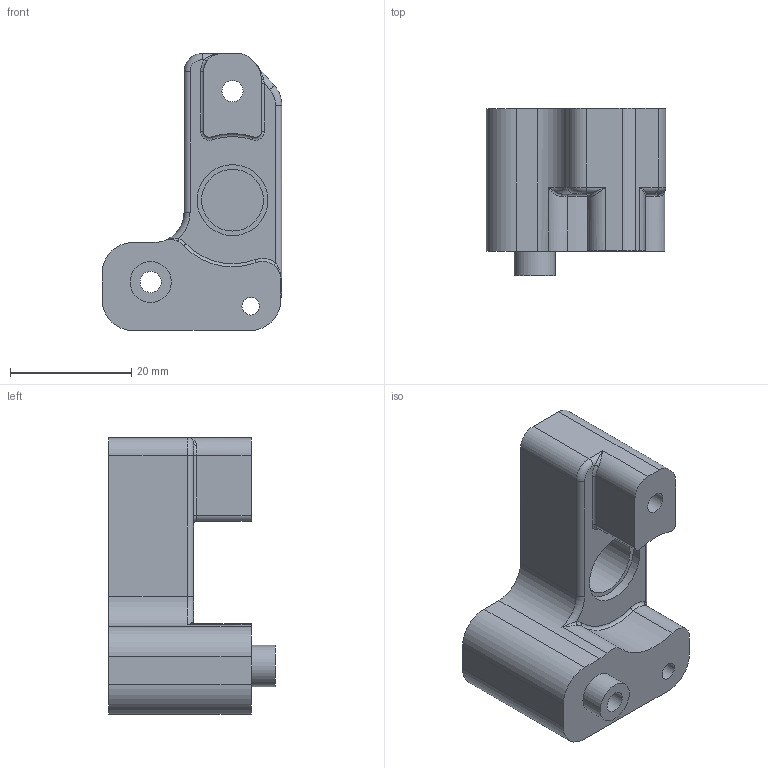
import cadquery as cq
import math


pillar_depth = 14.0
base_depth = 23.5
boss_height = 4.0
boss_depth = base_depth + boss_height

base_left = -21.5
base_right = 7.96
base_bottom = -21.5
base_top = -7.0
base_corner_radius = 5.0
crest_radius = 3.0

pillar_left = -8.0
pillar_right = 8.13
pillar_top = 24.2
pillar_foot = -16.0
pillar_corner_radius = 3.0
inner_corner_radius = 5.0
slant_top_x = 2.28
slant_right_z = 17.5
slant_lower_radius = 5.0
pillar_edge_radius = 1.0

block_half_width = 4.77
block_upper_left_radius = 3.0
block_upper_right_radius = 4.0
block_lower_radius = 1.0

clearance_radius = 11.0
foot_fillet_radius = 0.5

seat_radius = 5.1
seat_depth = 12.0
seat_step_radius = 5.85
seat_step_depth = 1.5

boss_x, boss_z = -13.5, -13.5
boss_radius = 3.4
screw_hole_diameter = 3.5
block_hole_x, block_hole_z = 0.0, 18.0
pin_hole_x, pin_hole_z = 3.0, -17.5
pin_hole_diameter = 2.9

DIAGONAL = math.sqrt(0.5)


def profile_plane(depth=0.0):
    """X-Z plane at the given depth; positive extrusion runs toward -Y."""
    return cq.Workplane("XZ", origin=(0, -depth, 0))


def cylinder(x, z, radius, start_depth, end_depth):
    sketch = profile_plane(start_depth).center(x, z).circle(radius)
    return sketch.extrude(end_depth - start_depth)


def point_toward(start, end, distance):
    """Point at the given distance from start on the line to end."""
    ratio = distance / math.dist(start, end)
    return (start[0] + ratio * (end[0] - start[0]), start[1] + ratio * (end[1] - start[1]))


def edge_at(x, z):
    """Selector for the depthwise edge through the point (x, z)."""
    reach = 0.05
    low = (x - reach, -boss_depth, z - reach)
    high = (x + reach, boss_depth, z + reach)
    return cq.selectors.BoxSelector(low, high)


inner_corner = (pillar_left - inner_corner_radius, base_top + inner_corner_radius)
inner_corner_middle = (
    inner_corner[0] + inner_corner_radius * DIAGONAL,
    inner_corner[1] - inner_corner_radius * DIAGONAL,
)


def make_pillar():
    pillar = (
        profile_plane()
        .moveTo(pillar_right, pillar_foot)
        .lineTo(pillar_right, slant_right_z)
        .lineTo(slant_top_x, pillar_top)
        .lineTo(pillar_left, pillar_top)
        .lineTo(pillar_left, inner_corner[1])
        .threePointArc(inner_corner_middle, (inner_corner[0], base_top))
        .lineTo(inner_corner[0], pillar_foot)
        .close()
        .extrude(pillar_depth)
    )
    pillar = pillar.edges(edge_at(pillar_left, pillar_top)).fillet(pillar_corner_radius)
    pillar = pillar.edges(edge_at(slant_top_x, pillar_top)).fillet(pillar_corner_radius)
    pillar = pillar.edges(edge_at(pillar_right, slant_right_z)).fillet(slant_lower_radius)
    front_left_edge = cq.selectors.NearestToPointSelector((pillar_left, -pillar_depth, pillar_top / 2))
    return pillar.edges(front_left_edge).fillet(pillar_edge_radius)


def crest_beside_inner_corner():
    """Centre of the left crest, tangent to the concave corner and the clearance arc."""
    to_corner = inner_corner_radius + crest_radius
    to_seat = clearance_radius + crest_radius
    between = math.hypot(*inner_corner)
    along = (to_seat**2 - to_corner**2 + between**2) / (2 * between)
    aside = math.sqrt(to_seat**2 - along**2)
    unit_x, unit_z = inner_corner[0] / between, inner_corner[1] / between
    return (along * unit_x - aside * unit_z, along * unit_z + aside * unit_x)


def make_base():
    left_crest = crest_beside_inner_corner()
    right_crest_x = base_right - crest_radius
    right_crest_z = -math.sqrt((clearance_radius + crest_radius) ** 2 - right_crest_x**2)
    right_crest = (right_crest_x, right_crest_z)
    seat = (0, 0)

    rise_end = point_toward(inner_corner, left_crest, inner_corner_radius)
    rise_chord_middle = ((inner_corner[0] + rise_end[0]) / 2, (base_top + rise_end[1]) / 2)
    rise_middle = point_toward(inner_corner, rise_chord_middle, inner_corner_radius)
    left_crest_top = (left_crest[0], left_crest[1] + crest_radius)
    right_crest_top = (right_crest[0], right_crest[1] + crest_radius)

    base = (
        profile_plane()
        .moveTo(base_left, base_bottom)
        .lineTo(base_left, base_top)
        .lineTo(inner_corner[0], base_top)
        .threePointArc(rise_middle, rise_end)
        .threePointArc(left_crest_top, point_toward(seat, left_crest, clearance_radius))
        .threePointArc((0, -clearance_radius), point_toward(seat, right_crest, clearance_radius))
        .threePointArc(right_crest_top, (base_right, right_crest[1]))
        .lineTo(base_right, base_bottom)
        .close()
        .extrude(base_depth)
    )
    for x, z in [(base_left, base_bottom), (base_left, base_top), (base_right, base_bottom)]:
        base = base.edges(edge_at(x, z)).fillet(base_corner_radius)
    return base


def make_block():
    slant_slope = (pillar_top - slant_right_z) / (pillar_right - slant_top_x)
    right_top = pillar_top - slant_slope * (block_half_width - slant_top_x)
    lower_z = math.sqrt(clearance_radius**2 - block_half_width**2)
    block = (
        profile_plane()
        .moveTo(-block_half_width, lower_z)
        .threePointArc((0, clearance_radius), (block_half_width, lower_z))
        .lineTo(block_half_width, right_top)
        .lineTo(slant_top_x, pillar_top)
        .lineTo(-block_half_width, pillar_top)
        .close()
        .extrude(base_depth)
    )
    block = block.edges(edge_at(-block_half_width, pillar_top)).fillet(block_upper_left_radius)
    block = block.edges(edge_at(slant_top_x, pillar_top)).fillet(pillar_corner_radius)
    block = block.edges(edge_at(block_half_width, right_top)).fillet(block_upper_right_radius)
    for x in (-block_half_width, block_half_width):
        block = block.edges(edge_at(x, lower_z)).fillet(block_lower_radius)
    return block


def round_feet(body):
    """Fillet the pillar front where it meets the base wall and the block walls."""
    for z in (-clearance_radius, clearance_radius):
        foot_edge = cq.selectors.NearestToPointSelector((0, -pillar_depth, z))
        body = body.edges(foot_edge).fillet(foot_fillet_radius)
    return body


def cut_seat(body):
    body = body.cut(cylinder(0, 0, seat_step_radius, pillar_depth - seat_step_depth, pillar_depth))
    return body.cut(cylinder(0, 0, seat_radius, pillar_depth - seat_depth, pillar_depth))


def cut_holes(body):
    holes = [
        (boss_x, boss_z, screw_hole_diameter),
        (block_hole_x, block_hole_z, screw_hole_diameter),
        (pin_hole_x, pin_hole_z, pin_hole_diameter),
    ]
    for x, z, diameter in holes:
        body = body.cut(cylinder(x, z, diameter / 2, 0, boss_depth))
    return body


body = make_pillar().union(make_base()).union(make_block())
body = round_feet(body)
body = body.union(cylinder(boss_x, boss_z, boss_radius, 0, boss_depth))
result = cut_holes(cut_seat(body))